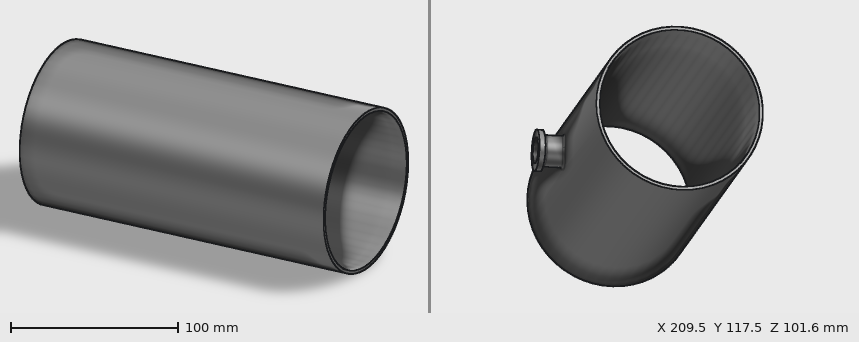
import cadquery as cq
import math

tube_length = 209.5
tube_diameter = 101.6
tube_bore = 97.5
tube_radius = tube_diameter / 2

overall_depth = 117.5
neck_diameter = 19.0
neck_bore = 15.7
flange_diameter = 25.0
flange_rim_thickness = 3.5
flange_back_angle = 20.0
flange_neck_fillet = 0.8
weld_fillet = 1.57

neck_radius = neck_diameter / 2
flange_radius = flange_diameter / 2
flange_face_y = overall_depth - tube_radius
rim_back_y = flange_face_y - flange_rim_thickness
flange_slope = math.tan(math.radians(flange_back_angle))
neck_start_y = rim_back_y - (flange_radius - neck_radius) * flange_slope


def tube_rod(diameter):
    """Solid rod along X, as long as the tube."""
    return cq.Workplane("YZ").circle(diameter / 2).extrude(tube_length / 2, both=True)


def ferrule_blank():
    """Solid neck and clamp flange, turned about Y from the tube axis outward."""
    blank = (
        cq.Workplane("XY")
        .polyline([
            (0, 0),
            (neck_radius, 0),
            (neck_radius, neck_start_y),
            (flange_radius, rim_back_y),
            (flange_radius, flange_face_y),
            (0, flange_face_y),
        ])
        .close()
        .revolve(360, (0, 0, 0), (0, 1, 0))
    )
    corner = cq.selectors.BoxSelector(
        (-neck_radius, neck_start_y - flange_neck_fillet, -neck_radius),
        (neck_radius, neck_start_y + flange_neck_fillet, neck_radius),
    )
    return blank.edges("%CIRCLE").edges(corner).fillet(flange_neck_fillet)


def add_weld(body):
    """Concave weld around the neck where it meets the tube."""
    reach = neck_radius + weld_fillet
    joint = cq.selectors.BoxSelector(
        (-reach, tube_bore / 2, -reach),
        (reach, tube_radius + weld_fillet, reach),
    )
    return body.edges(joint).fillet(weld_fillet)


body = add_weld(tube_rod(tube_diameter).union(ferrule_blank()))
neck_hole = (
    cq.Workplane("XZ")
    .circle(neck_bore / 2)
    .extrude(-flange_face_y)
)
result = body.cut(tube_rod(tube_bore)).cut(neck_hole)